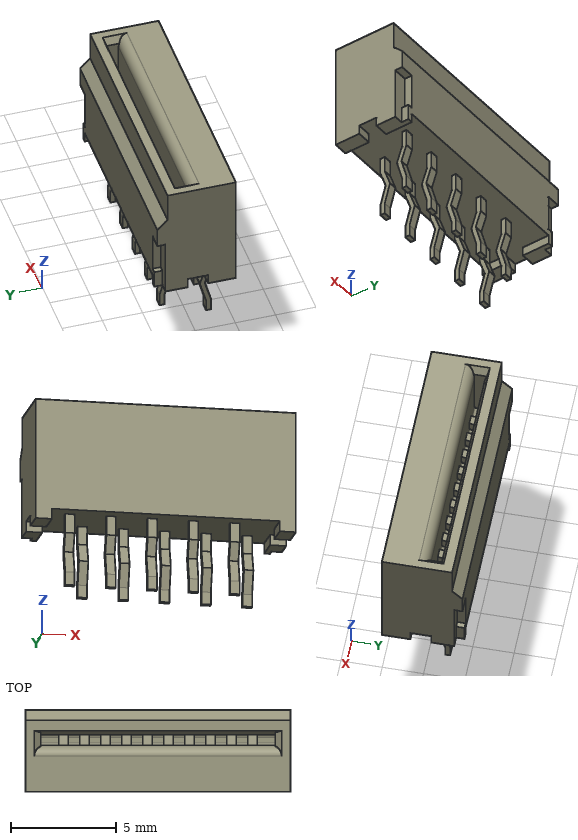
import cadquery as cq
import math


length = 12.6
depth = 3.9
height = 5.9
back_step = 0.5
upper_back_height = 1.5
foot_height = 0.5
foot_length = 0.78
foot_gap_front = 1.39
foot_gap_width = 1.01

notch_depth = 0.4
notch_height = 2.9
tab_height = 0.9
tab_setback = 0.5

slot_length = 11.14
slot_front = 2.22
slot_width = 0.5
slot_depth = 3.0
slot_floor_radius = 0.13
entry_radius = 0.5
entry_back_taper = 0.19
entry_back_taper_depth = 0.63
entry_end_chamfer = 0.3
contact_top = 3.4
contact_drop = 0.1

pin_count = 10
pin_span = 9.0
pin_pitch = pin_span / (pin_count - 1)
pin_width = 0.45
pin_thickness = 0.25
pin_length = 3.0
pin_embed = 0.5
front_row_y = 0.88
back_row_y = 2.89
kink_offset = 0.3
upper_bend_z = -0.4
kink_z = -1.29
lower_bend_z = -2.37


def box(x_min, x_max, y_min, y_max, z_min, z_max):
    """Axis-aligned box between two corners."""
    size = (x_max - x_min, y_max - y_min, z_max - z_min)
    return cq.Workplane("XY").box(*size, centered=False).translate((x_min, y_min, z_min))


def extrude_along_x(sketch, width):
    """Extrude a YZ outline by the given width, centred on X = 0."""
    return sketch.extrude(width / 2, both=True)


def housing_block():
    """Housing body with its back shoulder, standing on four corner feet."""
    upper_back = depth - back_step
    shoulder_top = height - upper_back_height
    outline = (
        cq.Workplane("YZ")
        .polyline([
            (0, 0),
            (depth, 0),
            (depth, shoulder_top - back_step),
            (upper_back, shoulder_top),
            (upper_back, height),
            (0, height),
        ])
        .close()
    )
    foot_inner = length / 2 - foot_length
    foot_gap_back = foot_gap_front + foot_gap_width
    between_ends = box(-foot_inner, foot_inner, 0, depth, 0, foot_height)
    between_rows = box(-length / 2, length / 2, foot_gap_front, foot_gap_back, 0, foot_height)
    return extrude_along_x(outline, length).cut(between_ends).cut(between_rows)


def back_corner_notches():
    """Stepped cutters for both lower back corners."""
    end = length / 2
    notch_front = depth - notch_depth
    upper = box(-end, -end + foot_length, notch_front, depth, tab_height, notch_height)
    lower = box(-end, -end + tab_setback, notch_front, depth, 0, tab_height)
    notch = upper.union(lower)
    return notch.union(notch.mirror("YZ"))


def slot_cutter():
    """Cable slot with rounded floor edges and a flared entry."""
    slot_back = slot_front + slot_width
    floor = height - slot_depth
    slot_half = slot_length / 2
    slot = (
        box(-slot_half, slot_half, slot_front, slot_back, floor, height)
        .edges("|X and <Z")
        .fillet(slot_floor_radius)
    )

    arc_half = entry_radius * math.sqrt(0.5)
    arc_bottom = height - entry_radius
    entry_bottom = height - entry_back_taper_depth
    chamfer_bottom = height - entry_end_chamfer
    mouth_front = slot_front - entry_radius
    entry_outline = (
        cq.Workplane("YZ")
        .moveTo(slot_front, entry_bottom)
        .lineTo(slot_front, arc_bottom)
        .threePointArc(
            (mouth_front + arc_half, arc_bottom + arc_half),
            (mouth_front, height),
        )
        .lineTo(slot_back + entry_back_taper, height)
        .lineTo(slot_back, entry_bottom)
        .close()
    )
    mouth_half = slot_half + entry_end_chamfer
    end_limits = (
        cq.Workplane("XZ")
        .polyline([
            (-slot_half, entry_bottom),
            (slot_half, entry_bottom),
            (slot_half, chamfer_bottom),
            (mouth_half, height),
            (-mouth_half, height),
            (-slot_half, chamfer_bottom),
        ])
        .close()
        .extrude(-depth)
    )
    entry = extrude_along_x(entry_outline, 2 * mouth_half).intersect(end_limits)
    return slot.union(entry)


def contact(x):
    """Contact tip spanning the slot, its top falling towards the back wall."""
    slot_back = slot_front + slot_width
    contact_base = height - slot_depth - slot_floor_radius
    outline = (
        cq.Workplane("YZ")
        .polyline([
            (slot_front, contact_base),
            (slot_back, contact_base),
            (slot_back, contact_top - contact_drop),
            (slot_front, contact_top),
        ])
        .close()
    )
    return extrude_along_x(outline, pin_width).translate((x, 0, 0))


def pin(x, y, kink_direction):
    """Strip of constant thickness, kinked towards +Y or -Y."""
    kink_y = y + kink_direction * kink_offset
    top = foot_height + pin_embed
    path = cq.Workplane("YZ").polyline([
        (y, top),
        (y, upper_bend_z),
        (kink_y, kink_z),
        (y, lower_bend_z),
        (y, -pin_length),
    ])
    section = cq.Workplane("XY", origin=(0, y, top)).rect(pin_width, pin_thickness)
    return section.sweep(path, transition="right").translate((x, 0, 0))


result = housing_block().cut(back_corner_notches()).cut(slot_cutter())
for index in range(pin_count):
    pin_x = -pin_span / 2 + index * pin_pitch
    result = result.union(contact(pin_x))
    if index % 2 == 0:
        result = result.union(pin(pin_x, front_row_y, 1))
    else:
        result = result.union(pin(pin_x, back_row_y, -1))